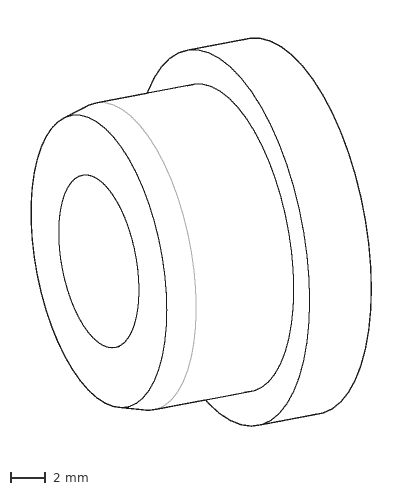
import cadquery as cq
import math

flange_diameter = 22.0
flange_thickness = 4.0
body_diameter = 18.0
bore_diameter = 10.1
total_length = 12.0

taper_length = 1.67
taper_angle = 15.0
tip_radius = body_diameter / 2 - taper_length * math.tan(math.radians(taper_angle))

shoulder_y = total_length - flange_thickness

half_section = (
    cq.Workplane("XY")
    .moveTo(bore_diameter / 2, 0)
    .lineTo(tip_radius, 0)
    .lineTo(body_diameter / 2, taper_length)
    .lineTo(body_diameter / 2, shoulder_y)
    .lineTo(flange_diameter / 2, shoulder_y)
    .lineTo(flange_diameter / 2, total_length)
    .lineTo(bore_diameter / 2, total_length)
    .close()
)

result = half_section.revolve(360, (0, 0, 0), (0, 1, 0))